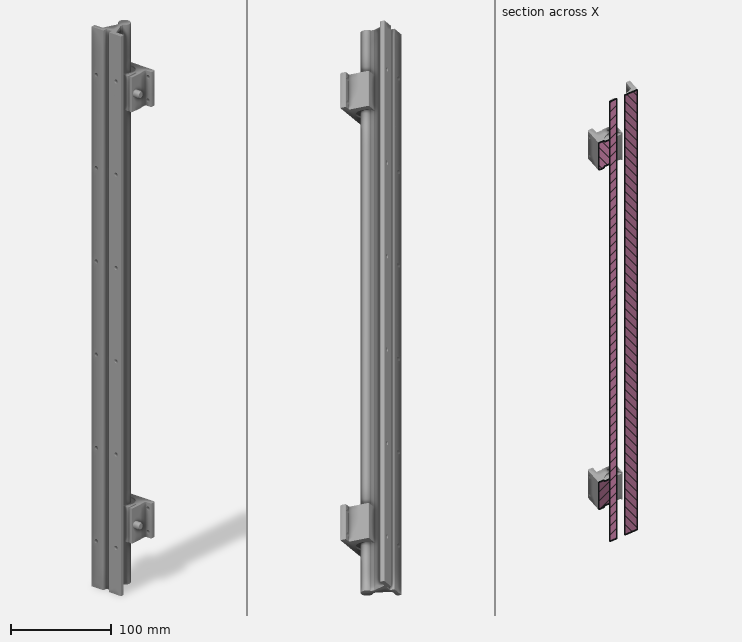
import cadquery as cq


INCH = 152.5 / 6
LENGTH = 24 * INCH
TOTAL_HEIGHT = 1.8 * INCH
SHAFT_HEIGHT = 1.125 * INCH
SHAFT_RADIUS = INCH / 4

BASE_WIDTH = 1.5 * INCH
BASE_BOTTOM = -SHAFT_HEIGHT
BASE_THICKNESS = 5.0
BASE_TOP = BASE_BOTTOM + BASE_THICKNESS
BASE_CHAMFER = 0.5
SADDLE_WIDTH = 5.5
SADDLE_FOOT = -9.0
WEB_ROOT_WIDTH = 17.5
NOTCH_WIDTH = 7.5
NOTCH_DEPTH = 5.0
RAIL_HOLE_DIAMETER = 4.0
RAIL_HOLE_COUNT = 6
RAIL_HOLE_PITCH = 4 * INCH
RAIL_HOLE_SPACING = INCH

BLOCK_LENGTH = 1.5 * INCH
BLOCK_HEIGHT = 1.1 * INCH
BLOCK_END_GAP = 2 * INCH
BLOCK_TOP = TOTAL_HEIGHT - SHAFT_HEIGHT
BLOCK_BOTTOM = BLOCK_TOP - BLOCK_HEIGHT
FLANGE_WIDTH = 2 * INCH
FLANGE_THICKNESS = 6.0
FLANGE_BOTTOM = BLOCK_TOP - FLANGE_THICKNESS
TOP_CHAMFER = 0.9
LOWER_CHAMFER = 0.5
BODY_WIDTH = 36.0
PAD_THICKNESS = 0.5
PAD_TOP = 4.0
RECESS_RADIUS = 7 / 16 * INCH
RECESS_DEPTH = 2.0
OPENING_WIDTH = 9.0
SLIT_X = 14.5
SLIT_WIDTH = 2.0
SLIT_TOP = 0.5
FLANGE_HOLE_DIAMETER = 3.95
FLANGE_HOLE_SPACING_X = 42.5
FLANGE_HOLE_SPACING_Z = INCH

SCREW_Y = -5.5
SCREW_RADIUS = 3.95
SCREW_TIP_RADIUS = 3.0
SCREW_TIP_LENGTH = 2.0
SCREW_OVERHANG = 0.05


def make_shaft():
    return cq.Workplane("XY").circle(SHAFT_RADIUS).extrude(LENGTH)


def make_rail():
    right_half = [
        (SADDLE_WIDTH / 2, 0),
        (SADDLE_WIDTH / 2, SADDLE_FOOT),
        (WEB_ROOT_WIDTH / 2, BASE_TOP),
        (BASE_WIDTH / 2 - BASE_CHAMFER, BASE_TOP),
        (BASE_WIDTH / 2, BASE_TOP - BASE_CHAMFER),
        (BASE_WIDTH / 2, BASE_BOTTOM),
        (NOTCH_WIDTH / 2, BASE_BOTTOM),
        (NOTCH_WIDTH / 2, BASE_BOTTOM + NOTCH_DEPTH),
    ]
    left_half = [(-x, y) for x, y in reversed(right_half)]
    rail = cq.Workplane("XY").polyline(right_half + left_half).close().extrude(LENGTH)
    mounting_holes = (
        cq.Workplane("XZ", origin=(0, BASE_BOTTOM, LENGTH / 2))
        .rarray(RAIL_HOLE_SPACING, RAIL_HOLE_PITCH, 2, RAIL_HOLE_COUNT)
        .circle(RAIL_HOLE_DIAMETER / 2)
        .extrude(-BASE_THICKNESS)
    )
    return rail.cut(make_shaft()).cut(mounting_holes)


def block_bar(x_min, x_max, y_min, y_max):
    """Rectangular bar as long as a block, starting at Z = 0."""
    bar = cq.Workplane("XY").box(x_max - x_min, y_max - y_min, BLOCK_LENGTH, centered=False)
    return bar.translate((x_min, y_min, 0))


def block_bore(radius, start, depth):
    return cq.Workplane("XY", origin=(0, 0, start)).circle(radius).extrude(depth)


def block_outline():
    flange = block_bar(-FLANGE_WIDTH / 2, FLANGE_WIDTH / 2, FLANGE_BOTTOM, BLOCK_TOP)
    flange = flange.edges("|Z and >Y").chamfer(TOP_CHAMFER)
    flange = flange.edges("|Z and <Y").chamfer(LOWER_CHAMFER)
    body = block_bar(-BODY_WIDTH / 2, BODY_WIDTH / 2, BLOCK_BOTTOM, FLANGE_BOTTOM)
    body = body.edges("|Z and <X and <Y").chamfer(LOWER_CHAMFER)
    pad = block_bar(0, BODY_WIDTH / 2 + PAD_THICKNESS, BLOCK_BOTTOM, PAD_TOP)
    return flange.union(body).union(pad)


def flange_holes():
    return (
        cq.Workplane("XZ", origin=(0, FLANGE_BOTTOM, BLOCK_LENGTH / 2))
        .rarray(FLANGE_HOLE_SPACING_X, FLANGE_HOLE_SPACING_Z, 2, 2)
        .circle(FLANGE_HOLE_DIAMETER / 2)
        .extrude(-FLANGE_THICKNESS)
    )


def adjusting_screw():
    """Round head with a tapered tip, its axis along X."""
    root_x = BODY_WIDTH / 2
    tip_x = FLANGE_WIDTH / 2 + SCREW_OVERHANG
    half_profile = [
        (root_x, SCREW_Y),
        (tip_x, SCREW_Y),
        (tip_x, SCREW_Y + SCREW_TIP_RADIUS),
        (tip_x - SCREW_TIP_LENGTH, SCREW_Y + SCREW_RADIUS),
        (root_x, SCREW_Y + SCREW_RADIUS),
    ]
    profile = cq.Workplane("XY", origin=(0, 0, BLOCK_LENGTH / 2)).polyline(half_profile).close()
    return profile.revolve(360, (root_x, SCREW_Y), (tip_x, SCREW_Y))


def make_block(start):
    block = block_outline()
    block = block.cut(block_bore(SHAFT_RADIUS, 0, BLOCK_LENGTH))
    for recess_start in (0, BLOCK_LENGTH - RECESS_DEPTH):
        block = block.cut(block_bore(RECESS_RADIUS, recess_start, RECESS_DEPTH))

    block = block.cut(block_bar(-OPENING_WIDTH / 2, OPENING_WIDTH / 2, BLOCK_BOTTOM, 0))
    block = block.cut(
        block_bar(SLIT_X - SLIT_WIDTH / 2, SLIT_X + SLIT_WIDTH / 2, BLOCK_BOTTOM, SLIT_TOP)
    )

    block = block.cut(flange_holes()).union(adjusting_screw())
    return block.translate((0, 0, start))


shaft = make_shaft()
rail = make_rail()
block_starts = (BLOCK_END_GAP, LENGTH - BLOCK_END_GAP - BLOCK_LENGTH)
blocks = [make_block(start) for start in block_starts]

result = cq.Compound.makeCompound([shaft.val(), rail.val(), *[block.val() for block in blocks]])